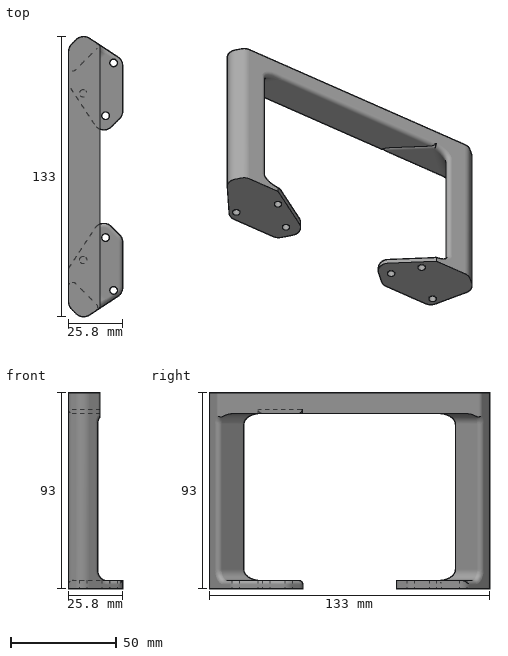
import cadquery as cq
import math

depth = 25.78
height = 93.04
foot_thickness = 4.0
bar_height = 10.0
bar_depth = 15.0

end_chamfer_y = 61.35
outer_corner_y = 55.23
inner_corner_y = 29.0
foot_start_y = 43.5
slope_angle = math.radians(33.4)
outline_radius = 5.0

opening_half_width = 47.25
opening_radius = 5.0
edge_radius = 2.0
front_overhang = 4.0

hole_diameter = 3.5
corner_hole = (7.0, 39.5)
hole_spacing_long = 20.4
hole_spacing_short = 15.0

slope = math.tan(slope_angle)
opening_top = height - bar_height
mid_height = height / 2
tolerance = 1e-3


def outer_slope_y(x):
    """Y of the outer sloped face at a given X."""
    return outer_corner_y + slope * (depth - x)


def inner_slope_y(x):
    """Y of the foot's inner sloped face, square to the outer one."""
    return foot_start_y - x / slope


def prism(points, z_low, z_high):
    return cq.Workplane("XY").workplane(offset=z_low).polyline(points).close().extrude(z_high - z_low)


def mirrored(points):
    return [(x, -y) for x, y in points]


def is_between_base_and_top(edge):
    """True when the edge touches neither the base nor the top of the frame."""
    box = edge.BoundingBox()
    return box.zmin > tolerance and box.zmax < height - tolerance


def round_edges(solid, edge_test, radius):
    return solid.newObject(solid.edges().filter(edge_test).vals()).fillet(radius)


def round_uprights(solid, points, radius):
    """Round the vertical edges that stand on the given plan points."""
    def stands_on_point(edge):
        box = edge.BoundingBox()
        if box.xlen > tolerance or box.ylen > tolerance:
            return False
        center = edge.Center()
        return any(math.hypot(center.x - x, center.y - y) < tolerance for x, y in points)

    return round_edges(solid, stands_on_point, radius)


end_corner_x = (outer_slope_y(0) - end_chamfer_y) / (1 + slope)
end_corners = [(0, end_chamfer_y), (end_corner_x, outer_slope_y(end_corner_x))]
tip_x = (foot_start_y - inner_corner_y + depth) / (1 + 1 / slope)
foot_corners = [(depth, outer_corner_y), (depth, inner_corner_y), (tip_x, inner_slope_y(tip_x))]


def make_side():
    """Blank of the +Y leg and foot, up to mid height."""
    blank = prism(end_corners + foot_corners + [(0, foot_start_y)], 0, mid_height)
    return round_uprights(blank, end_corners + foot_corners, outline_radius)


def make_bar():
    """Upper half of the frame as a full-width block."""
    front = end_corners[::-1]
    back = [(bar_depth, outer_slope_y(bar_depth))]
    points = mirrored(back + front) + (back + front)[::-1]
    blank = prism(points, mid_height, height)
    blank = round_uprights(blank, front + mirrored(front), outline_radius)
    return round_uprights(blank, back + mirrored(back), edge_radius)


def make_opening():
    """Space between the legs, flaring towards +X, with rounded corners along the flare."""
    back_half_width = opening_half_width + depth
    front_end = (-front_overhang, opening_half_width - front_overhang)
    back_end = (depth, back_half_width)
    plan = mirrored([front_end, back_end]) + [back_end, front_end]
    blank = prism(plan, foot_thickness, opening_top)

    def is_flared(edge):
        return abs(edge.tangentAt(0).x) > tolerance and abs(edge.tangentAt(0).y) > tolerance

    return round_edges(blank, is_flared, opening_radius)


def front_rounding_waste(opening):
    """Material removed by rounding the opening's edge loop on the -X face.

    It is taken from a plain block that surrounds the whole opening.
    """
    block_half_width = opening_half_width + 2 * depth
    corners = [(0, block_half_width), (depth, block_half_width)]
    block = prism(corners + mirrored(corners)[::-1], 0, height).cut(opening)

    def is_front_edge(edge):
        return edge.BoundingBox().xmax < tolerance and is_between_base_and_top(edge)

    return block.cut(round_edges(block, is_front_edge, edge_radius))


def slope_rounding_waste(opening, rounded_foot):
    """Material removed by rounding the +Y side where the opening meets the outer slope.

    The rounding runs on along smoothly joined edges: all round a foot with rounded corners,
    but only along the slope when the corners are sharp.
    """
    front = -front_overhang
    front_points = [(front, inner_slope_y(front)), (front, outer_slope_y(front))]
    wedge = prism(front_points + foot_corners, 0, height)
    if rounded_foot:
        wedge = round_uprights(wedge, foot_corners, outline_radius)
    wedge = wedge.cut(opening)

    def is_slope_edge(edge):
        points = [edge.startPoint(), edge.positionAt(0.5), edge.endPoint()]
        on_slope = all(abs(p.y - outer_slope_y(p.x)) < tolerance for p in points)
        return on_slope and is_between_base_and_top(edge)

    return wedge.cut(round_edges(wedge, is_slope_edge, edge_radius))


def drill_holes(frame):
    """Three mounting holes through each foot."""
    x, y = corner_hole
    long_step = hole_spacing_long * math.sqrt(0.5)
    short_step = hole_spacing_short * math.sqrt(0.5)
    holes = [
        corner_hole,
        (x + long_step, y + long_step),
        (x + short_step, y - short_step),
    ]
    drills = cq.Workplane("XY").pushPoints(holes + mirrored(holes)).circle(hole_diameter / 2)
    return frame.cut(drills.extrude(foot_thickness))


opening = make_opening()
side = make_side()
frame = make_bar().union(side).union(side.mirror("XZ")).cut(opening)
frame = frame.cut(front_rounding_waste(opening))
frame = frame.cut(slope_rounding_waste(opening, rounded_foot=False))
frame = frame.cut(slope_rounding_waste(opening, rounded_foot=True).mirror("XZ"))
result = drill_holes(frame)